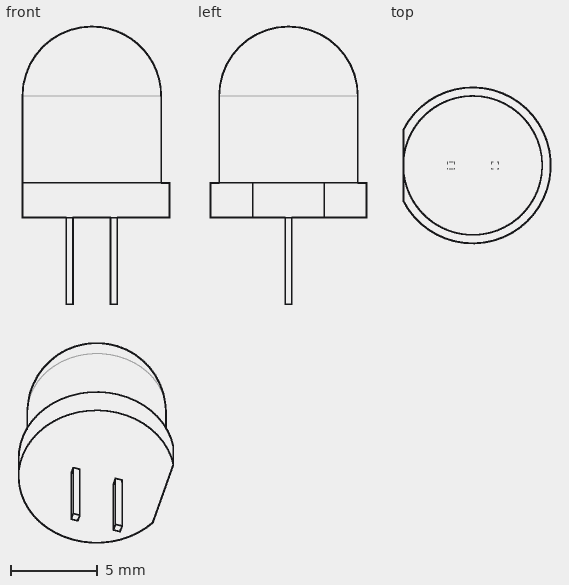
import cadquery as cq

total_height = 16.0
lens_diameter = 8.0
flange_diameter = 9.0
flange_height = 2.0
lead_width = 0.4
lead_spacing = 2.55

lens_radius = lens_diameter / 2
barrel_height = (total_height - lens_radius - flange_height) / 2
lead_length = barrel_height
dome_base = flange_height + barrel_height


def make_flange():
    """Round flange with a flat on -X, tangent to the lens barrel."""
    disc = cq.Workplane("XY").circle(flange_diameter / 2).extrude(flange_height)
    keep = (
        cq.Workplane("XY")
        .box(flange_diameter, flange_diameter, flange_height, centered=(False, True, False))
        .translate((-lens_radius, 0, 0))
    )
    return disc.intersect(keep)


def make_lens():
    """Cylindrical barrel closed by a hemispherical dome, revolved about Z."""
    arc_offset = lens_radius * 0.5 ** 0.5
    return (
        cq.Workplane("XZ")
        .lineTo(lens_radius, 0)
        .lineTo(lens_radius, dome_base)
        .threePointArc(
            (arc_offset, dome_base + arc_offset),
            (0, dome_base + lens_radius),
        )
        .close()
        .revolve(360, (0, 0, 0), (0, 1, 0))
    )


def make_leads():
    """Two square leads hanging below the flange."""
    return (
        cq.Workplane("XY")
        .pushPoints([(-lead_spacing / 2, 0), (lead_spacing / 2, 0)])
        .rect(lead_width, lead_width)
        .extrude(-lead_length)
    )


result = make_flange().union(make_lens()).union(make_leads())